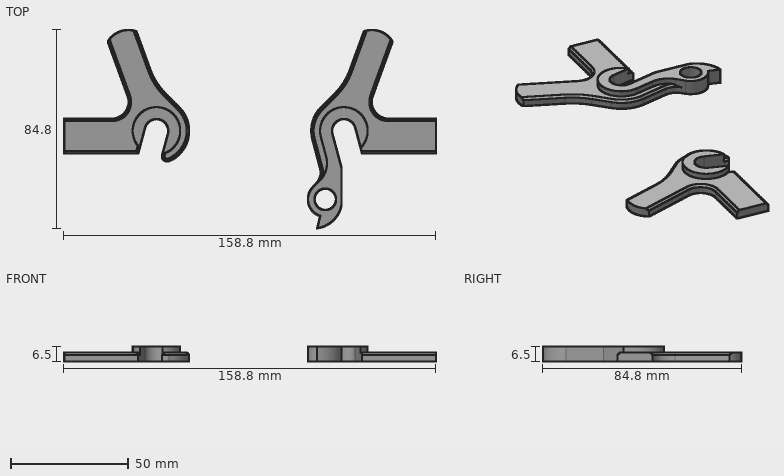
import cadquery as cq
import math


half_length = 79.4
axle_offset = 40.0
arm_reach = half_length - axle_offset

plate_thickness = 4.0
total_thickness = 6.5
edge_chamfer = 1.03

hub_radius = 14.0
boss_radius = 10.2
slot_radius = 5.0
slot_angle = 15.0
hook_tip_radius = 2.2

arm_top = 5.2
arm_bottom = -9.7

strut_angle = 20.0
strut_half_width = 6.5
strut_cap_centre = 35.1
strut_cap_radius = 10.2
arm_strut_radius = 7.1
shoulder_angle = 45.0
shoulder_radius = 27.0

hanger_hole_x = -8.0
hanger_hole_y = -29.2
hanger_hole_radius = 4.52
hanger_eye_radius = 7.5
hanger_neck_angle = 45.0
boss_neck_radius = 10.0
plate_neck_radius = 7.0
hanger_side_x = -1.0
hanger_side_end_y = -31.7
hanger_toe_bulge = (-3.5, -37.1)
hanger_toe = (-11.5, -41.6)
hanger_stop_x = -10.2


def tilted(along, across, angle, sign=1):
    """Point in a frame whose 'along' axis leans from the Y axis towards +X.

    sign=+1 measures 'along' upwards, sign=-1 downwards; 'across' points to +X.
    """
    tilt = math.radians(angle)
    x = along * math.sin(tilt) + across * math.cos(tilt)
    y = sign * (along * math.cos(tilt) - across * math.sin(tilt))
    return (x, y)


def strut_point(along, across):
    return tilted(along, across, strut_angle)


def slot_point(along, across):
    return tilted(along, across, slot_angle, sign=-1)


def meet(point_a, point_b, point_c, point_d):
    """Intersection of line a-b with line c-d."""
    ab = (point_b[0] - point_a[0], point_b[1] - point_a[1])
    cd = (point_d[0] - point_c[0], point_d[1] - point_c[1])
    ac = (point_c[0] - point_a[0], point_c[1] - point_a[1])
    t = (ac[0] * cd[1] - ac[1] * cd[0]) / (ab[0] * cd[1] - ab[1] * cd[0])
    return (point_a[0] + t * ab[0], point_a[1] + t * ab[1])


def at_height(point_a, point_b, y):
    """Point at height y on the line a-b."""
    return meet(point_a, point_b, (0, y), (1, y))


def round_corner(path, before, corner, after, radius):
    """Draw a line up to a corner and round it with a tangent arc."""
    vertex = cq.Vector(*corner)
    back = (cq.Vector(*before) - vertex).normalized()
    ahead = (cq.Vector(*after) - vertex).normalized()
    half_angle = back.getAngle(ahead) / 2
    tangent_length = radius / math.tan(half_angle)
    bisector = (back + ahead).normalized()
    middle = vertex + bisector * (radius / math.sin(half_angle) - radius)
    start = vertex + back * tangent_length
    end = vertex + ahead * tangent_length
    path = path.lineTo(start.x, start.y)
    return path.threePointArc((middle.x, middle.y), (end.x, end.y))


cap_rise = math.sqrt(strut_cap_radius**2 - strut_half_width**2)
strut_corner_right = strut_point(strut_cap_centre + cap_rise, strut_half_width)
strut_corner_left = strut_point(strut_cap_centre + cap_rise, -strut_half_width)
strut_tip = strut_point(strut_cap_centre + strut_cap_radius, 0)

shoulder_end = tilted(0, -hub_radius, shoulder_angle)
shoulder_line_point = tilted(1.6, -hub_radius, shoulder_angle)
shoulder_corner = meet(
    strut_corner_left, strut_point(0, -strut_half_width), shoulder_end, shoulder_line_point
)

neck_offset = tilted(0, -hanger_eye_radius, hanger_neck_angle)
neck_end = (hanger_hole_x + neck_offset[0], hanger_hole_y + neck_offset[1])
neck_step = tilted(1.6, 0, hanger_neck_angle)
neck_line_point = (neck_end[0] + neck_step[0], neck_end[1] + neck_step[1])

slot_wall_start = slot_point(0, -slot_radius)
slot_wall_end = meet(
    slot_wall_start,
    slot_point(1.6, -slot_radius),
    (hanger_side_x, 0),
    (hanger_side_x, 1),
)


def start_plate_outline():
    """Outline from the slot around arm, strut and shoulder to the hub's -X side."""
    slot_mouth = at_height(slot_point(0, slot_radius), slot_point(1.6, slot_radius), arm_bottom)
    arm_corner = at_height(strut_corner_right, strut_point(0, strut_half_width), arm_top)
    path = (
        cq.Workplane()
        .moveTo(*slot_wall_start)
        .threePointArc(slot_point(-slot_radius, 0), slot_point(0, slot_radius))
        .lineTo(*slot_mouth)
        .lineTo(arm_reach, arm_bottom)
        .lineTo(arm_reach, arm_top)
    )
    path = round_corner(path, (arm_reach, arm_top), arm_corner, strut_corner_right, arm_strut_radius)
    path = path.lineTo(*strut_corner_right).threePointArc(strut_tip, strut_corner_left)
    path = round_corner(path, strut_corner_left, shoulder_corner, shoulder_end, shoulder_radius)
    return path.lineTo(*shoulder_end).threePointArc((-hub_radius, 0), slot_point(0, -hub_radius))


def hook_plate():
    """Plate whose hub ends in a short hook with a rounded tip."""
    tip_across = -(slot_radius + hook_tip_radius)
    tip_along = math.sqrt((hub_radius - hook_tip_radius) ** 2 - tip_across**2)
    tip_angle = math.atan2(-tip_across, tip_along)
    hub_tangent = slot_point(hub_radius * math.cos(tip_angle), -hub_radius * math.sin(tip_angle))
    middle_angle = (tip_angle - math.pi / 2) / 2
    tip_middle = slot_point(
        tip_along + hook_tip_radius * math.cos(middle_angle),
        tip_across - hook_tip_radius * math.sin(middle_angle),
    )
    hub_middle_angle = (tip_angle + math.pi / 2) / 2
    hub_middle = slot_point(
        hub_radius * math.cos(hub_middle_angle), -hub_radius * math.sin(hub_middle_angle)
    )
    outline = (
        start_plate_outline()
        .threePointArc(hub_middle, hub_tangent)
        .threePointArc(tip_middle, slot_point(tip_along, -slot_radius))
        .close()
    )
    return chamfer_plate(outline.extrude(plate_thickness))


def hanger_side_to_neck(path, radius_from_axle, neck_radius):
    """Run parallel to the slot and curve out along the neck to the eye."""
    start = slot_point(0, -radius_from_axle)
    corner = meet(start, slot_point(1.6, -radius_from_axle), neck_end, neck_line_point)
    return round_corner(path, start, corner, neck_end, neck_radius).lineTo(*neck_end)


def hanger_plate():
    """Plate that runs down beside the slot and fades into the hanger neck."""
    path = hanger_side_to_neck(start_plate_outline(), hub_radius, plate_neck_radius)
    path = path.lineTo(hanger_side_x, neck_end[1])
    outline = path.lineTo(*slot_wall_end).close()
    return chamfer_plate(outline.extrude(plate_thickness))


def has_chamfer(edge):
    """True for outer edges; the slot, arm end, strut end and hanger joint stay sharp."""
    tolerance = 0.02
    middle = edge.positionAt(0.5)
    tilt = math.radians(slot_angle)
    slot_across = middle.x * math.cos(tilt) + middle.y * math.sin(tilt)
    in_slot = abs(slot_across) < slot_radius + tolerance and middle.y < slot_radius + tolerance
    on_arm_end = middle.x > arm_reach - tolerance
    on_strut_end = middle.y > strut_corner_right[1]
    on_hanger_joint = middle.y < slot_wall_end[1] and middle.x > hanger_hole_x
    return not (in_slot or on_arm_end or on_strut_end or on_hanger_joint)


def chamfer_plate(plate):
    edges = [edge for edge in plate.faces(">Z").edges().vals() if has_chamfer(edge)]
    return plate.newObject(edges).chamfer(edge_chamfer)


def slot_boss():
    """Raised round boss with the axle slot cut through it."""
    boss = cq.Workplane().circle(boss_radius).extrude(total_thickness)
    slot = (
        cq.Workplane()
        .moveTo(*slot_wall_start)
        .threePointArc(slot_point(-slot_radius, 0), slot_point(0, slot_radius))
        .lineTo(*slot_point(hub_radius, slot_radius))
        .lineTo(*slot_point(hub_radius, -slot_radius))
        .close()
        .extrude(total_thickness)
    )
    return boss.cut(slot)


def hanger_arm():
    """Full-thickness hanger with its eye, hole and pointed toe."""
    stop_run = hanger_stop_x - hanger_hole_x
    stop_y = hanger_hole_y - math.sqrt(hanger_eye_radius**2 - stop_run**2)
    path = cq.Workplane().moveTo(*slot_wall_start).lineTo(*slot_point(0, -boss_radius))
    path = hanger_side_to_neck(path, boss_radius, boss_neck_radius)
    return (
        path.threePointArc((hanger_hole_x - hanger_eye_radius, hanger_hole_y), (hanger_stop_x, stop_y))
        .lineTo(*hanger_toe)
        .threePointArc(hanger_toe_bulge, (hanger_side_x, hanger_side_end_y))
        .lineTo(*slot_wall_end)
        .close()
        .extrude(total_thickness)
        .cut(
            cq.Workplane()
            .center(hanger_hole_x, hanger_hole_y)
            .circle(hanger_hole_radius)
            .extrude(total_thickness)
        )
    )


def hook_dropout():
    dropout = hook_plate().union(slot_boss())
    return dropout.mirror("YZ").translate((-axle_offset, 0, 0))


def hanger_dropout():
    dropout = hanger_plate().union(slot_boss()).union(hanger_arm())
    return dropout.translate((axle_offset, 0, 0))


left_dropout = hook_dropout()
right_dropout = hanger_dropout()

result = cq.Compound.makeCompound([left_dropout.val(), right_dropout.val()])